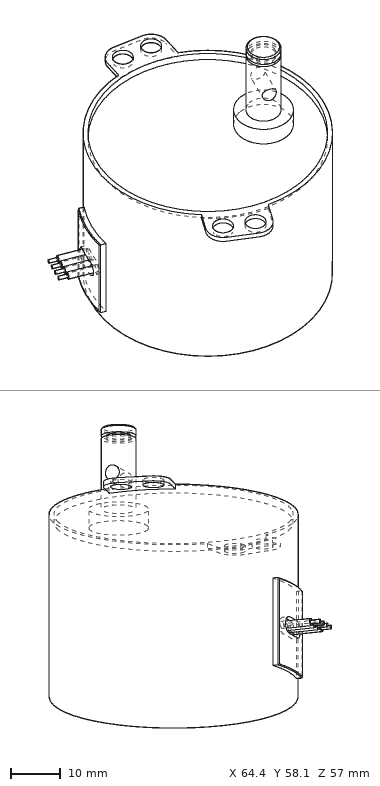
import cadquery as cq
import math

can_diameter = 50.0
can_height = 38.0
can_radius = can_diameter / 2
bottom_fillet = 0.5
recess_diameter = 48.0
recess_depth = 1.6
floor_z = can_height - recess_depth

overall_width = 64.4
ear_thickness = 1.0
ear_corner_radius = 3.55
ear_hole_diameter = 4.2
ear_hole_spacing = 6.65
ear_tilt = 10.0
upper_hole_x = overall_width / 2 - ear_corner_radius
upper_hole_y = -0.95
ear_inner_length = 7.7

shaft_y = 12.0
boss_diameter = 12.0
boss_top_z = 40.25
shaft_diameter = 7.0
shaft_top_z = 57.0
shaft_chamfer = 0.3
groove_diameter = 5.0
groove_bottom_z = 54.8
groove_width = 0.6
cross_hole_diameter = 3.0
cross_hole_z = 47.1

pad_width = 12.0
pad_height = 18.0
pad_center_z = 12.05
pad_thickness = 1.3
pad_radius = can_radius + pad_thickness
pad_edge_chamfer = 0.2
slot_length = 7.35
slot_height = 3.5

wire_count = 4
wire_pitch = 1.8
insulation_diameter = 1.5
core_diameter = 0.8
insulation_end = 31.2
core_end = 33.15


def cylinder(diameter, bottom_z, top_z, y=0.0):
    disc = cq.Workplane("XY", origin=(0, y, bottom_z)).circle(diameter / 2)
    return disc.extrude(top_z - bottom_z)


def make_ear():
    """Ear on the +X side: rounded plate with two holes, tilted about Z."""
    tilt = math.radians(ear_tilt)
    center_x = upper_hole_x - ear_hole_spacing / 2 * math.sin(tilt)
    center_y = upper_hole_y - ear_hole_spacing / 2 * math.cos(tilt)
    length = ear_inner_length + ear_corner_radius
    plate = (
        cq.Workplane("XY")
        .center((ear_corner_radius - ear_inner_length) / 2, 0)
        .rect(length, ear_hole_spacing + 2 * ear_corner_radius)
        .extrude(ear_thickness)
        .edges("|Z and >X")
        .fillet(ear_corner_radius)
    )
    half_spacing = ear_hole_spacing / 2
    holes = (
        cq.Workplane("XY")
        .pushPoints([(0, half_spacing), (0, -half_spacing)])
        .circle(ear_hole_diameter / 2)
        .extrude(ear_thickness)
    )
    ear = plate.cut(holes).rotate((0, 0, 0), (0, 0, 1), -ear_tilt)
    return ear.translate((center_x, center_y, can_height - ear_thickness))


def make_housing():
    can = cylinder(can_diameter, 0, can_height).faces("<Z").edges().fillet(bottom_fillet)
    ear = make_ear()
    housing = can.union(ear).union(ear.mirror("YZ"))
    return housing.cut(cylinder(recess_diameter, floor_z, can_height))


def make_shaft():
    groove_top_z = groove_bottom_z + groove_width
    boss = cylinder(boss_diameter, floor_z, boss_top_z, shaft_y)
    shaft = cylinder(shaft_diameter, floor_z, shaft_top_z, shaft_y)
    shaft = shaft.faces(">Z").chamfer(shaft_chamfer)
    groove = cylinder(shaft_diameter, groove_bottom_z, groove_top_z, shaft_y).cut(
        cylinder(groove_diameter, groove_bottom_z, groove_top_z, shaft_y)
    )
    cross_hole = (
        cq.Workplane("YZ", origin=(0, shaft_y, cross_hole_z))
        .circle(cross_hole_diameter / 2)
        .extrude(shaft_diameter, both=True)
    )
    return shaft.cut(groove).cut(cross_hole).union(boss)


def make_pad():
    """Plate curved around the can, with a slot through it for the wires."""
    bottom_z = pad_center_z - pad_height / 2
    ring = cylinder(2 * pad_radius, bottom_z, bottom_z + pad_height)
    front_plane = cq.Workplane("XZ", origin=(0, 0, pad_center_z))
    window = front_plane.rect(pad_width, pad_height).extrude(pad_radius)
    bore = cylinder(can_diameter, bottom_z, bottom_z + pad_height)
    slot = front_plane.slot2D(slot_length, slot_height).extrude(pad_radius)
    pad = ring.intersect(window)
    outer_face = pad.faces("<Y")
    return outer_face.chamfer(pad_edge_chamfer).cut(bore).cut(slot)


def make_wires():
    """Stripped wires starting inside the can and pointing along -Y."""
    first_x = -wire_pitch * (wire_count - 1) / 2
    wire_start = can_radius - pad_thickness
    positions = [(first_x + i * wire_pitch, 0) for i in range(wire_count)]
    row = cq.Workplane("XZ", origin=(0, -wire_start, pad_center_z)).pushPoints(positions)
    insulation = row.circle(insulation_diameter / 2).extrude(insulation_end - wire_start)
    cores = row.circle(core_diameter / 2).extrude(core_end - wire_start)
    return insulation.union(cores)


result = make_housing().union(make_shaft()).union(make_pad()).union(make_wires())